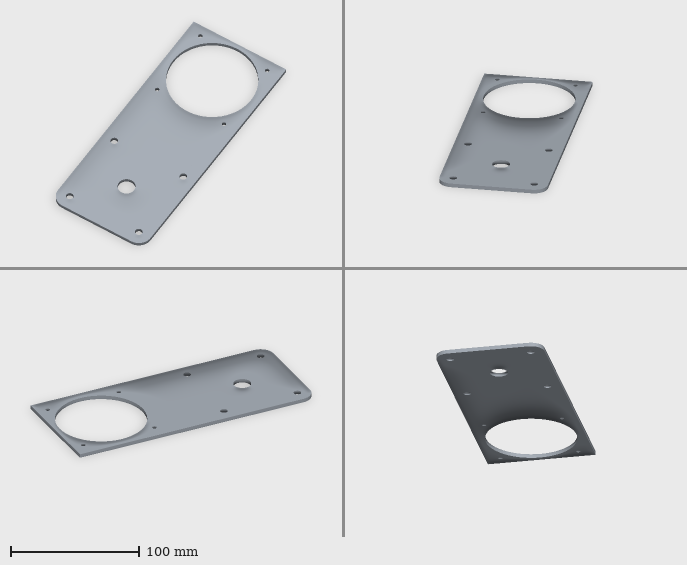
import cadquery as cq

length = 206.0
width = 86.0
thickness = 3.0
corner_radius = 11.0

opening_diameter = 72.0
opening_from_square_end = 40.0
small_hole_diameter = 3.5
small_hole_spacing = 62.0

shaft_hole_diameter = 14.0
mount_hole_diameter = 6.0
mount_hole_spacing = width - 2 * corner_radius

opening_y = length / 2 - opening_from_square_end
shaft_hole_y = -length / 2 + corner_radius + mount_hole_spacing / 2


def make_plate():
    """Flat plate with its two -Y corners rounded."""
    plate = cq.Workplane("XY").box(width, length, thickness, centered=(True, True, False))
    return plate.edges("|Z and <Y").fillet(corner_radius)


def cut_hole_group(plate, center_y, center_diameter, hole_spacing, hole_diameter):
    """Cut a central through hole and four through holes on a square around it."""
    face = plate.faces(">Z").workplane(origin=(0, center_y, thickness))
    plate = face.hole(center_diameter)
    face = plate.faces(">Z").workplane(origin=(0, center_y, thickness))
    return face.rarray(hole_spacing, hole_spacing, 2, 2).hole(hole_diameter)


plate = make_plate()
plate = cut_hole_group(plate, opening_y, opening_diameter, small_hole_spacing, small_hole_diameter)
plate = cut_hole_group(plate, shaft_hole_y, shaft_hole_diameter, mount_hole_spacing, mount_hole_diameter)

result = plate